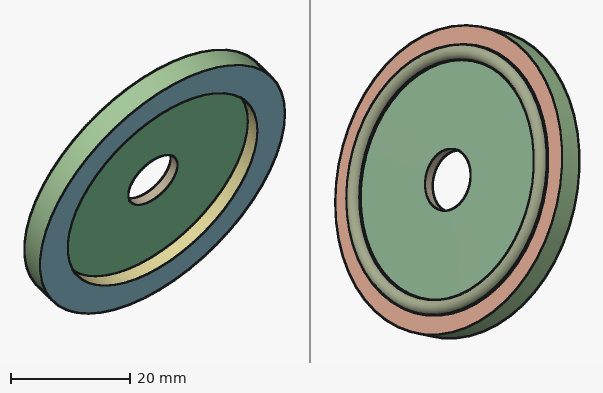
import cadquery as cq

outer_radius = 26.25
hole_radius = 5.25
plate_thickness = 4.25

bead_outer_radius = 23.05
bead_crown_radius = 1.25
bead_side_flare = 0.1
bead_height = 1.5
bead_mid_radius = bead_outer_radius - bead_side_flare - bead_crown_radius
bead_inner_radius = bead_mid_radius - bead_crown_radius - bead_side_flare

cone_rise = 0.2

web_thickness = 1.9
recess_radius = bead_inner_radius

rim_face_x = 0.0
back_face_x = plate_thickness
bead_top_x = -bead_height
crown_start_x = bead_top_x + bead_crown_radius
hole_edge_x = rim_face_x - cone_rise
recess_floor_x = hole_edge_x + web_thickness

section = (
    cq.Workplane("XY")
    .moveTo(recess_floor_x, hole_radius)
    .lineTo(recess_floor_x, recess_radius)
    .lineTo(back_face_x, recess_radius)
    .lineTo(back_face_x, outer_radius)
    .lineTo(rim_face_x, outer_radius)
    .lineTo(rim_face_x, bead_outer_radius)
    .lineTo(crown_start_x, bead_mid_radius + bead_crown_radius)
    .threePointArc((bead_top_x, bead_mid_radius), (crown_start_x, bead_mid_radius - bead_crown_radius))
    .lineTo(rim_face_x, bead_inner_radius)
    .lineTo(hole_edge_x, hole_radius)
    .close()
)

result = section.revolve(360, (0, 0, 0), (1, 0, 0))